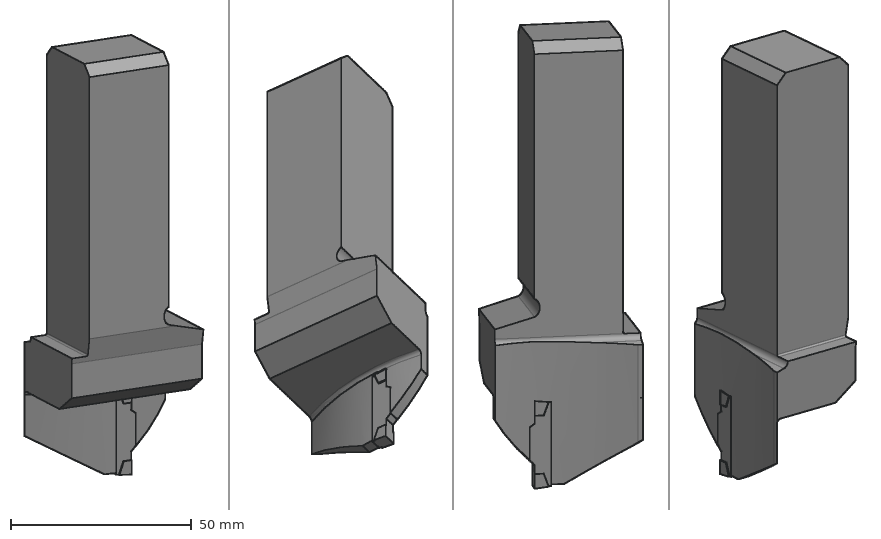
import cadquery as cq
import math

shank = 25.0
top_z = 126.8
top_chamfer = 3.0

front_y = -5.0
back_y = 36.1
front_step_z = 43.0
front_step_fillet = 0.5
back_ledge_z = 45.8
relief_top_z = 54.0
relief_bottom_z = 48.8
relief_mid_z = 51.2
relief_y = 23.5
underside_z = 26.5

side_x = -3.8
side_ledge_z = 40.6
side_ledge_angle = 15.0
side_fillet = 1.9
taper_top_z = 48.3
taper_bottom_z = 41.5
head_right_x = 23.7
corner_z = 31.5
corner_x = 16.6

inner_apex_x = -0.4
outer_apex_x = 3.2
flat_width = 1.5
root_fillet = 1.1
blade_bottom_z = 1.0
blade_front_z = 13.5
slope_end_y = 16.7
blade_back_z = 19.9
blade_back_mid = (30.7, 12.4)

insert_length = 25.0
insert_y = 20.3
insert_mid_y = 26.4
mid_bottom_z = 8.0
mid_top_z = 17.5
step_bottom_z = 6.6
step_top_z = 18.5
end_relief = 0.5
tip_height = 4.2
body_inset = 0.1
tip_overhang = 0.3
tip_narrow_y = 22.5
tip_wide_y = 21.0


def arc_radius(rise, half_chord):
    """Radius of an arc from its apex to a point at the given offsets."""
    return (rise**2 + half_chord**2) / (2 * rise)


inner_radius = arc_radius(inner_apex_x - side_x, shank - front_y - flat_width)
outer_radius = arc_radius(outer_apex_x - side_x, shank - front_y)


def arc_x(apex_x, radius, y):
    return apex_x - radius + math.sqrt(radius**2 - (y - shank)**2)


def extrude_yz(outline, x_start, x_end):
    return outline.extrude(x_end - x_start).translate((x_start, 0, 0))


def vertical_cylinder(apex_x, radius):
    return (
        cq.Workplane("XY")
        .center(apex_x - radius, shank)
        .circle(radius)
        .extrude(top_z)
    )


def make_shank_and_head():
    slope = math.radians(side_ledge_angle)
    fillet_start_x = -side_fillet * (1 - math.sin(slope))
    fillet_start_z = side_ledge_z + (fillet_start_x - side_x) * math.tan(slope)
    fillet_end_z = fillet_start_z + side_fillet * math.cos(slope)
    front_outline = (
        cq.Workplane("XZ")
        .moveTo(side_x, underside_z)
        .lineTo(side_x, side_ledge_z)
        .lineTo(fillet_start_x, fillet_start_z)
        .radiusArc((0, fillet_end_z), -side_fillet)
        .lineTo(0, top_z - top_chamfer)
        .lineTo(top_chamfer, top_z)
        .lineTo(shank - top_chamfer, top_z)
        .lineTo(shank, top_z - top_chamfer)
        .lineTo(shank, taper_top_z)
        .lineTo(head_right_x, taper_bottom_z)
        .lineTo(head_right_x, corner_z)
        .lineTo(corner_x, underside_z)
        .close()
        .extrude(front_y - back_y)
        .translate((0, front_y, 0))
    )
    side_outline = (
        cq.Workplane("YZ")
        .moveTo(front_y, underside_z)
        .lineTo(front_y, front_step_z)
        .lineTo(-front_step_fillet, front_step_z)
        .radiusArc((0, front_step_z + front_step_fillet), -front_step_fillet)
        .lineTo(0, top_z)
        .lineTo(shank, top_z)
        .lineTo(shank, relief_top_z)
        .threePointArc((relief_y, relief_mid_z), (shank, relief_bottom_z))
        .lineTo(back_y, back_ledge_z)
        .lineTo(back_y, underside_z)
        .close()
    )
    return front_outline.intersect(extrude_yz(side_outline, side_x, shank))


def make_blade():
    plan = (
        cq.Workplane("XY")
        .moveTo(side_x, front_y)
        .radiusArc((outer_apex_x, shank), -outer_radius)
        .radiusArc((arc_x(outer_apex_x, outer_radius, back_y), back_y), -outer_radius)
        .lineTo(side_x, back_y)
        .close()
        .extrude(underside_z)
    )
    side_outline = (
        cq.Workplane("YZ")
        .moveTo(front_y, underside_z)
        .lineTo(front_y, blade_front_z)
        .lineTo(slope_end_y, blade_bottom_z)
        .lineTo(shank, blade_bottom_z)
        .lineTo(shank, step_bottom_z)
        .lineTo(insert_mid_y, mid_bottom_z)
        .threePointArc(blade_back_mid, (back_y, blade_back_z))
        .lineTo(back_y, underside_z)
        .close()
    )
    return plan.intersect(extrude_yz(side_outline, side_x, outer_apex_x))


def insert_outline():
    return (
        cq.Workplane("YZ")
        .moveTo(insert_y, end_relief)
        .lineTo(shank, 0)
        .lineTo(shank, step_bottom_z)
        .lineTo(insert_mid_y, mid_bottom_z)
        .lineTo(insert_mid_y, mid_top_z)
        .lineTo(shank, step_top_z)
        .lineTo(shank, insert_length)
        .lineTo(insert_y, insert_length - end_relief)
        .close()
    )


def make_insert():
    insert = extrude_yz(
        insert_outline(), inner_apex_x + body_inset, outer_apex_x - body_inset
    )
    lower_tip_outline = (
        cq.Workplane("YZ")
        .moveTo(shank, 0)
        .lineTo(shank, tip_height)
        .lineTo(tip_narrow_y, tip_height)
        .lineTo(tip_wide_y, end_relief * (shank - tip_wide_y) / (shank - insert_y))
        .close()
    )
    lower_tip = extrude_yz(
        lower_tip_outline, inner_apex_x - tip_overhang, outer_apex_x + tip_overhang
    )
    upper_tip = lower_tip.mirror("XY", (0, 0, insert_length / 2))
    return insert.union(lower_tip).union(upper_tip)


def make_holder():
    holder = make_shank_and_head().union(make_blade())
    blade_root = cq.selectors.BoxSelector(
        (side_x, front_y, underside_z - 0.1), (outer_apex_x, back_y, underside_z + 0.1)
    )
    holder = holder.edges(blade_root).edges("%CIRCLE").fillet(root_fillet)
    holder = holder.cut(vertical_cylinder(inner_apex_x, inner_radius))
    insert_pocket = extrude_yz(insert_outline(), side_x, outer_apex_x + root_fillet)
    return holder.cut(insert_pocket)


cutting_insert = make_insert()
holder = make_holder()
result = cq.Compound.makeCompound([holder.solids().val(), cutting_insert.solids().val()])